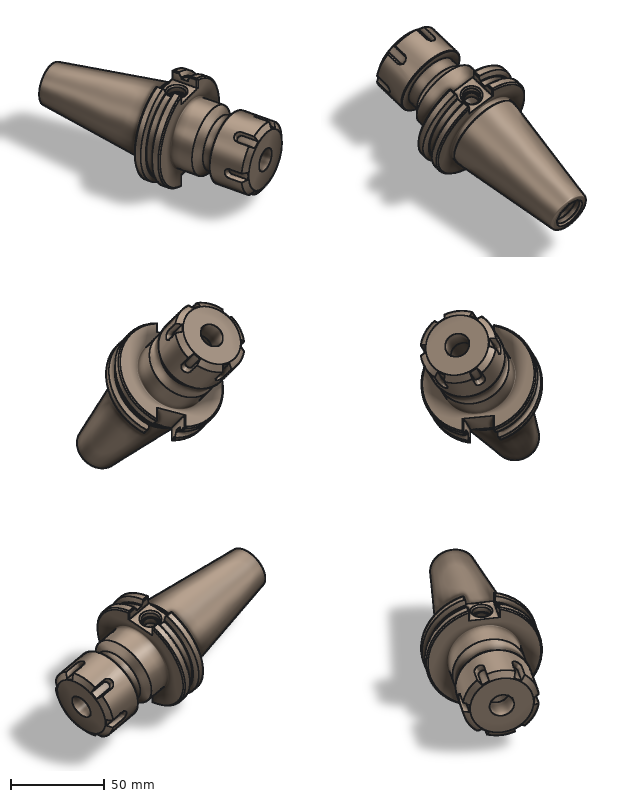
import cadquery as cq
import math


TAPER_LENGTH = 68.25
GAUGE_DIAMETER = 44.45
TAPER_RATE = 7 / 24
SMALL_END_ROUND = 1.2
RELIEF_DIAMETER = 43.94
RELIEF_CHAMFER_LENGTH = 0.4

BORE_DIAMETER = 13.39
SOCKET_DIAMETER = 16.46
SOCKET_MOUTH_DIAMETER = 18.03
SOCKET_MOUTH_DEPTH = 1.4
SOCKET_DEPTH = 4.5
SOCKET_STEP = 1.95

FLANGE_START = 3.18
FLANGE_END = 19.2
FLANGE_DIAMETER = 63.5
FLANGE_CHAMFER = 0.8
FLANGE_ROOT_FILLET = 0.61
GROOVE_CENTER = 11.06
GROOVE_FLOOR_WIDTH = 4.1
GROOVE_FLOOR_DIAMETER = 56.4
GROOVE_STEP = 0.9
GROOVE_MOUTH_WIDTH = 7.2

SLOT_WIDTH = 16.2
SLOT_EDGE_CHAMFER = 0.63
UPPER_SLOT_FLOOR = 24.6
LOWER_SLOT_FLOOR = 22.6

DRILL_CENTER = 11.06
DRILL_DIAMETER = 10.05
DRILL_MOUTH_DIAMETER = 12.0
DRILL_TIP_DIAMETER = 8.0
DRILL_DEPTH = 4.0
DRILL_STEP = 4.0
DRILL_TIP_ANGLE = 130

BODY_DIAMETER = 40.51
BODY_END = 32.7
NOSE_DIAMETER = 32.0
NOSE_END = 53.5

NUT_START = 43.95
NUT_END = 66.56
NUT_DIAMETER = 42.0
NUT_REAR_CHAMFER = 0.4
NUT_FACE_DIAMETER = 34.8
NUT_FACE_CHAMFER_LENGTH = 2.4
WRENCH_SLOT_COUNT = 6
WRENCH_SLOT_WIDTH = 6.2
WRENCH_SLOT_START = 53.55
WRENCH_SLOT_FLOOR = 17.75
WRENCH_SLOT_DRAFT = 15.0

POSITION_TOLERANCE = 0.01


def revolve(points):
    """Turn a closed (x, radius) outline about the X axis."""
    return cq.Workplane("XY").polyline(points).close().revolve(360, (0, 0, 0), (1, 0, 0))


def shank():
    """Taper, relief, body and nose as one turned solid."""
    small_radius = (GAUGE_DIAMETER - TAPER_RATE * TAPER_LENGTH) / 2
    relief_radius = RELIEF_DIAMETER / 2
    body_radius = BODY_DIAMETER / 2
    nose_radius = NOSE_DIAMETER / 2
    body_slope_end = BODY_END + body_radius - nose_radius
    solid = revolve([
        (-TAPER_LENGTH, 0),
        (-TAPER_LENGTH, small_radius),
        (0, GAUGE_DIAMETER / 2),
        (RELIEF_CHAMFER_LENGTH, relief_radius),
        (FLANGE_START, relief_radius),
        (FLANGE_START, body_radius),
        (BODY_END, body_radius),
        (body_slope_end, nose_radius),
        (NOSE_END, nose_radius),
        (NOSE_END, 0),
    ])
    return solid.faces("<X").edges().fillet(SMALL_END_ROUND)


def flange():
    """Disc with chamfered rims and a gripper groove with sloped sides."""
    rim = FLANGE_DIAMETER / 2
    floor = GROOVE_FLOOR_DIAMETER / 2
    half_floor = GROOVE_FLOOR_WIDTH / 2
    half_mouth = GROOVE_MOUTH_WIDTH / 2
    return revolve([
        (FLANGE_START, 0),
        (FLANGE_START, rim - FLANGE_CHAMFER),
        (FLANGE_START + FLANGE_CHAMFER, rim),
        (GROOVE_CENTER - half_mouth, rim),
        (GROOVE_CENTER - half_floor, floor + GROOVE_STEP),
        (GROOVE_CENTER - half_floor, floor),
        (GROOVE_CENTER + half_floor, floor),
        (GROOVE_CENTER + half_floor, floor + GROOVE_STEP),
        (GROOVE_CENTER + half_mouth, rim),
        (FLANGE_END - FLANGE_CHAMFER, rim),
        (FLANGE_END, rim - FLANGE_CHAMFER),
        (FLANGE_END, 0),
    ])


def is_flange_root(edge):
    """True for the circles where the relief and the body meet the flange."""
    roots = [(FLANGE_START, RELIEF_DIAMETER / 2), (FLANGE_END, BODY_DIAMETER / 2)]
    return any(
        abs(edge.Center().x - x) < POSITION_TOLERANCE and abs(edge.radius() - radius) < POSITION_TOLERANCE
        for x, radius in roots
    )


def drive_slot(floor):
    """Cutter for a slot on +Z whose wall edges are chamfered at the rim and at both flange faces."""
    rim = FLANGE_DIAMETER / 2
    chamfer = SLOT_EDGE_CHAMFER
    half = SLOT_WIDTH / 2
    wide = half + chamfer
    corner = math.sqrt(rim**2 - wide**2)

    plan = [
        (FLANGE_START, wide),
        (FLANGE_START + chamfer, half),
        (FLANGE_END - chamfer, half),
        (FLANGE_END, wide),
    ]
    plan += [(x, -y) for x, y in reversed(plan)]
    face_flare = cq.Workplane("XY", origin=(0, 0, floor)).polyline(plan).close().extrude(rim - floor)

    section = [(half, floor), (half, corner - chamfer), (wide + chamfer, corner + chamfer)]
    section += [(-y, z) for y, z in reversed(section)]
    rim_flare = (
        cq.Workplane("YZ", origin=(FLANGE_START, 0, 0))
        .polyline(section)
        .close()
        .extrude(FLANGE_END - FLANGE_START)
    )
    return face_flare.union(rim_flare)


def drilled_hole():
    """Cutter for the chamfered, stepped hole with a conical bottom in the upper slot."""
    mouth_radius = DRILL_MOUTH_DIAMETER / 2
    radius = DRILL_DIAMETER / 2
    tip_radius = DRILL_TIP_DIAMETER / 2
    top = UPPER_SLOT_FLOOR
    step = top - DRILL_DEPTH
    cone_top = step - DRILL_STEP
    cone_height = tip_radius / math.tan(math.radians(DRILL_TIP_ANGLE / 2))
    outline = [
        (0, top),
        (mouth_radius, top),
        (radius, top - (mouth_radius - radius)),
        (radius, step),
        (tip_radius, step),
        (tip_radius, cone_top),
        (0, cone_top - cone_height),
    ]
    cutter = cq.Workplane("XZ").polyline(outline).close().revolve(360, (0, 0, 0), (0, 1, 0))
    return cutter.translate((DRILL_CENTER, 0, 0))


def bore():
    """Cutter for the through bore with the pull stud socket at its rear end."""
    bore_radius = BORE_DIAMETER / 2
    socket_radius = SOCKET_DIAMETER / 2
    rear = -TAPER_LENGTH
    return revolve([
        (rear, 0),
        (rear, SOCKET_MOUTH_DIAMETER / 2),
        (rear + SOCKET_MOUTH_DEPTH, socket_radius),
        (rear + SOCKET_DEPTH, socket_radius),
        (rear + SOCKET_DEPTH + SOCKET_STEP, bore_radius),
        (NOSE_END, bore_radius),
        (NOSE_END, 0),
    ])


def make_holder():
    blank = shank().union(flange())
    root_edges = [edge for edge in blank.edges("%CIRCLE").vals() if is_flange_root(edge)]
    blank = blank.newObject(root_edges).fillet(FLANGE_ROOT_FILLET)
    lower_slot = drive_slot(LOWER_SLOT_FLOOR).rotate((0, 0, 0), (1, 0, 0), 180)
    return blank.cut(drive_slot(UPPER_SLOT_FLOOR)).cut(lower_slot).cut(drilled_hole()).cut(bore())


def nut_blank():
    """Turned nut with a recess for the nose and the bore continued through its front."""
    radius = NUT_DIAMETER / 2
    nose_radius = NOSE_DIAMETER / 2
    bore_radius = BORE_DIAMETER / 2
    return revolve([
        (NUT_START, nose_radius),
        (NUT_START, radius - NUT_REAR_CHAMFER),
        (NUT_START + NUT_REAR_CHAMFER, radius),
        (NUT_END - NUT_FACE_CHAMFER_LENGTH, radius),
        (NUT_END, NUT_FACE_DIAMETER / 2),
        (NUT_END, bore_radius),
        (NOSE_END, bore_radius),
        (NOSE_END, nose_radius),
    ])


def wrench_slot(angle):
    """Cutter for a round-ended slot, open at the front, whose walls lean outward."""
    depth = NUT_DIAMETER / 2 - WRENCH_SLOT_FLOOR
    floor_radius = WRENCH_SLOT_WIDTH / 2 - depth * math.tan(math.radians(WRENCH_SLOT_DRAFT))
    round_center = WRENCH_SLOT_START + WRENCH_SLOT_WIDTH / 2
    open_end = NUT_END + depth
    cutter = (
        cq.Workplane("XY", origin=(0, 0, WRENCH_SLOT_FLOOR))
        .moveTo(open_end, -floor_radius)
        .lineTo(round_center, -floor_radius)
        .threePointArc((round_center - floor_radius, 0), (round_center, floor_radius))
        .lineTo(open_end, floor_radius)
        .close()
        .extrude(depth, taper=-WRENCH_SLOT_DRAFT)
    )
    return cutter.rotate((0, 0, 0), (1, 0, 0), angle)


def make_nut():
    body = nut_blank()
    first_angle = 90
    for index in range(WRENCH_SLOT_COUNT):
        body = body.cut(wrench_slot(first_angle + index * 360 / WRENCH_SLOT_COUNT))
    return body


holder = make_holder()
nut = make_nut()

result = cq.Compound.makeCompound([holder.val(), nut.val()])